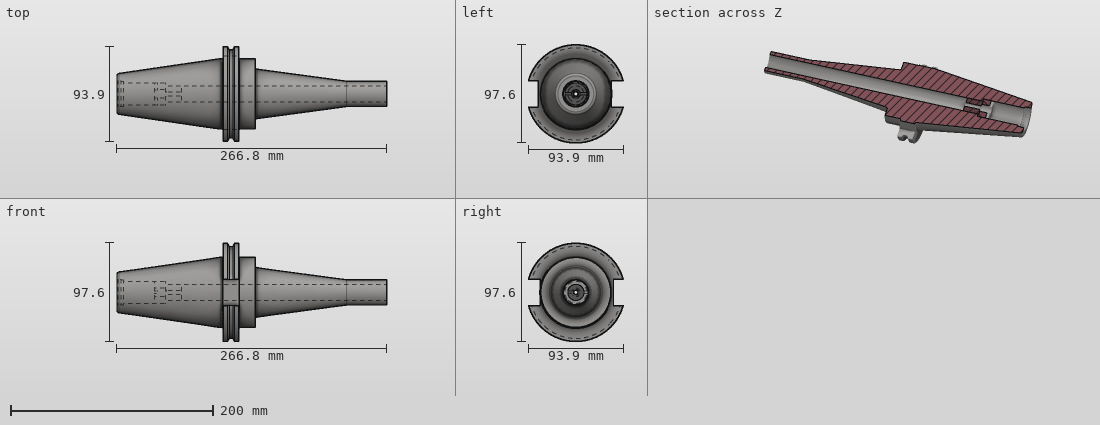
import cadquery as cq
import math

length = 266.8

gauge_x = 102.2
gauge_dia = 70.0
taper_ratio = 7 / 24
shank_end_dia = gauge_dia - taper_ratio * gauge_x
shank_end_round = 2.7

flange_dia = 97.6
flange_start_x = 104.8
flange_end_x = 120.5
flange_chamfer = 0.5
flange_fillet = 0.8
groove_x = 112.8
groove_depth = 3.2
groove_floor_width = 3.5
groove_half_angle = 30.0

slot_width = 25.5
deep_slot_floor_y = 37.3
shallow_slot_floor_y = 35.2

hub_dia = gauge_dia
hub_end_x = 136.9
hub_chamfer = 0.5
cone_fillet = 1.5
cone_base_dia = 49.5
nose_start_x = 226.8
nose_dia = 25.3
nose_chamfer = 0.5

mouth_dia = 25.0
mouth_depth = 4.3
mouth_chamfer_depth = 1.0
mouth_chamfer_width = 0.5
step_dia = 24.5
step_end_x = 6.5
plug_bore_dia = 22.0
tool_bore_dia = 16.0

plug_start_x = 37.3
plug_length = 10.7
plug_hole_dia = 8.5
plug_slot_width = 2.5
plug_slot_depth = 2.7

screw_length = 16.0
screw_hole_dia = 4.0
screw_hole_chamfer = 0.8

plug_end_x = plug_start_x + plug_length


def cylinder(dia, start_x, end_x):
    """Cylinder on the X axis between two X positions."""
    return cq.Workplane("YZ", origin=(start_x, 0, 0)).circle(dia / 2).extrude(end_x - start_x)


def revolve_about_x(profile):
    return profile.close().revolve(360, (0, 0, 0), (1, 0, 0))


def make_shank():
    """Taper with a rounded small end and a short cylinder filleted to the flange."""
    shank = revolve_about_x(
        cq.Workplane("XY")
        .lineTo(0, shank_end_dia / 2)
        .lineTo(gauge_x, gauge_dia / 2)
        .lineTo(flange_start_x - flange_fillet, gauge_dia / 2)
        .radiusArc((flange_start_x, gauge_dia / 2 + flange_fillet), -flange_fillet)
        .lineTo(flange_start_x, 0)
    )
    return shank.faces("<X").edges().fillet(shank_end_round)


def make_groove_cutter():
    """Ring with a V-shaped section and a flat floor."""
    floor_half = groove_floor_width / 2
    rim_half = floor_half + groove_depth * math.tan(math.radians(groove_half_angle))
    rim_r = flange_dia / 2
    floor_r = rim_r - groove_depth
    return revolve_about_x(
        cq.Workplane("XY")
        .moveTo(groove_x - rim_half, rim_r)
        .lineTo(groove_x - floor_half, floor_r)
        .lineTo(groove_x + floor_half, floor_r)
        .lineTo(groove_x + rim_half, rim_r)
    )


def make_drive_slot(side, floor_y):
    """Block that removes the rim beyond floor_y; side is +1 for +Y, -1 for -Y."""
    radial_depth = flange_dia / 2 - floor_y
    return cq.Workplane("XY").box(flange_end_x - flange_start_x, radial_depth, slot_width).translate(
        ((flange_start_x + flange_end_x) / 2, side * (floor_y + radial_depth / 2), 0)
    )


def make_flange():
    flange = cylinder(flange_dia, flange_start_x, flange_end_x)
    flange = flange.cut(make_drive_slot(1, deep_slot_floor_y))
    flange = flange.cut(make_drive_slot(-1, shallow_slot_floor_y))
    rim_edges = flange.faces("%CYLINDER").edges()
    slot_wall_edges = flange.faces("|Z").edges("|Y")
    flange = rim_edges.add(slot_wall_edges).chamfer(flange_chamfer)
    return flange.cut(make_groove_cutter())


def hub_face_edge(front, radius_rank):
    """Circle bounding the hub's +X face: rank 0 is the inner one, -1 the outer one."""
    near = 0.03
    at_hub_face = cq.selectors.BoxSelector((hub_end_x - near, -near, -near), (hub_end_x + near, near, near))
    return front.edges(at_hub_face).edges(cq.selectors.RadiusNthSelector(radius_rank))


def make_front():
    """Hub, cone and nose, with fillets at the flange and at the root of the cone."""
    front = revolve_about_x(
        cq.Workplane("XY")
        .moveTo(flange_end_x, 0)
        .lineTo(flange_end_x, hub_dia / 2 + flange_fillet)
        .radiusArc((flange_end_x + flange_fillet, hub_dia / 2), -flange_fillet)
        .lineTo(hub_end_x, hub_dia / 2)
        .lineTo(hub_end_x, cone_base_dia / 2)
        .lineTo(nose_start_x, nose_dia / 2)
        .lineTo(length, nose_dia / 2)
        .lineTo(length, 0)
    )
    front = front.faces(">X").edges().chamfer(nose_chamfer)
    front = hub_face_edge(front, -1).chamfer(hub_chamfer)
    return hub_face_edge(front, 0).fillet(cone_fillet)


def make_mouth_cutter():
    """Mouth bore with a steep lead-in chamfer."""
    mouth_r = mouth_dia / 2
    return revolve_about_x(
        cq.Workplane("XY")
        .lineTo(0, mouth_r + mouth_chamfer_width)
        .lineTo(mouth_chamfer_depth, mouth_r)
        .lineTo(mouth_depth, mouth_r)
        .lineTo(mouth_depth, 0)
    )


def make_holder():
    holder = make_shank().union(make_flange()).union(make_front())
    holder = holder.cut(make_mouth_cutter())
    holder = holder.cut(cylinder(step_dia, mouth_depth, step_end_x))
    holder = holder.cut(cylinder(plug_bore_dia, step_end_x, plug_end_x))
    return holder.cut(cylinder(tool_bore_dia, plug_end_x, length))


def make_plug():
    """Disc with a central hole and a screwdriver slot across its -X face."""
    plug = cylinder(plug_bore_dia, plug_start_x, plug_end_x)
    plug = plug.cut(cylinder(plug_hole_dia, plug_start_x, plug_end_x))
    slot = cq.Workplane("XY").box(plug_slot_depth, plug_bore_dia, plug_slot_width)
    return plug.cut(slot.translate((plug_start_x + plug_slot_depth / 2, 0, 0)))


def make_stop_screw():
    """Cylinder with a through hole and a chamfered mouth at its -X end."""
    screw_end_x = plug_end_x + screw_length
    screw = cylinder(tool_bore_dia, plug_end_x, screw_end_x)
    screw = screw.cut(cylinder(screw_hole_dia, plug_end_x, screw_end_x))
    hole_edge = screw.faces("<X").edges(cq.selectors.RadiusNthSelector(0))
    return hole_edge.chamfer(screw_hole_chamfer)


holder = make_holder()
plug = make_plug()
stop_screw = make_stop_screw()

result = cq.Compound.makeCompound([body.solids().val() for body in (holder, plug, stop_screw)])